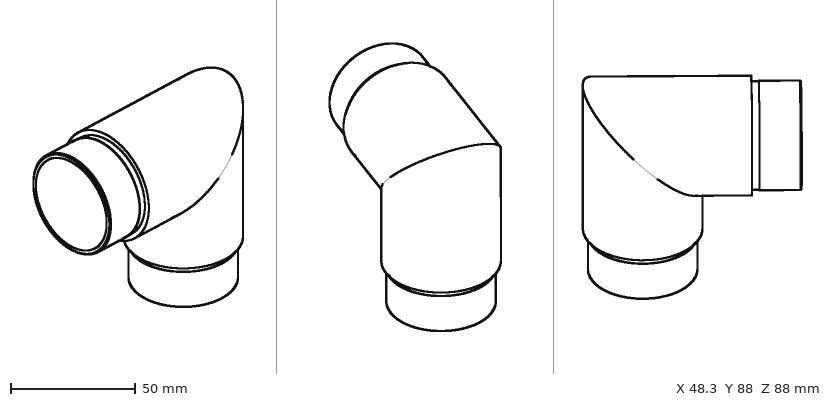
import cadquery as cq

body_diameter = 48.3
groove_diameter = 43.8
spigot_diameter = 44.2
bore_diameter = 40.3
overall_length = 88.0
spigot_length = 20.0
groove_width = 3.0
end_chamfer = 0.5

body_radius = body_diameter / 2
leg_length = overall_length - body_radius
shoulder_distance = leg_length - spigot_length
groove_end_distance = shoulder_distance + groove_width


def cylinder_down(diameter, start, end):
    """Cylinder on the Z axis, from z = -start down to z = -end."""
    return cq.Workplane("XY").workplane(offset=-start).circle(diameter / 2).extrude(start - end)


def mitre_wedge():
    """Region below the mitre plane z = y, large enough to hold the vertical leg."""
    reach = leg_length + body_radius
    return (
        cq.Workplane("YZ")
        .polyline([(-reach, -reach), (reach, -reach), (reach, reach)])
        .close()
        .extrude(body_diameter, both=True)
    )


def vertical_leg():
    """Bored leg with groove and chamfered spigot, cut on the mitre plane."""
    body = cylinder_down(body_diameter, -body_radius, shoulder_distance)
    groove = cylinder_down(groove_diameter, shoulder_distance, groove_end_distance)
    spigot = cylinder_down(spigot_diameter, groove_end_distance, leg_length)
    spigot = spigot.faces("<Z").edges().chamfer(end_chamfer)
    bore = cylinder_down(bore_diameter, -body_radius, leg_length)
    return body.union(groove).union(spigot).cut(bore).intersect(mitre_wedge())


lower_leg = vertical_leg()
front_leg = lower_leg.rotate((0, 0, 0), (0, 1, 1), 180)
result = lower_leg.union(front_leg)